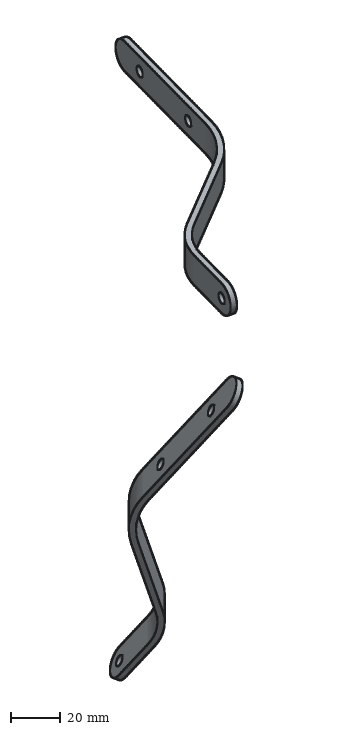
import cadquery as cq
import math

LENGTH = 183.0
OFFSET = 50.0
THICKNESS = 3.0
HEIGHT = 15.0
END_RADIUS = HEIGHT / 2

BEND_ANGLE = math.radians(44.0)
FIRST_BEND_START = 74.0
FIRST_BEND_INNER_RADIUS = 37.0
SECOND_BEND_OUTER_RADIUS = 30.0

HOLE_DIAMETER = 5.0
HOLE_POSITIONS = [20.0, 60.0, LENGTH - END_RADIUS]

LONG_LEG_Y = OFFSET
SHORT_LEG_Y = 0.0
BACK_Y = OFFSET + THICKNESS

BEND_RADII_SUM = FIRST_BEND_INNER_RADIUS + SECOND_BEND_OUTER_RADIUS
SLOPE_DROP = OFFSET - BEND_RADII_SUM * (1 - math.cos(BEND_ANGLE))
SLOPE_RUN = SLOPE_DROP / math.tan(BEND_ANGLE)
SECOND_BEND_END = FIRST_BEND_START + BEND_RADII_SUM * math.sin(BEND_ANGLE) + SLOPE_RUN

FIRST_BEND_CENTER = (FIRST_BEND_START, LONG_LEG_Y - FIRST_BEND_INNER_RADIUS)
SECOND_BEND_CENTER = (SECOND_BEND_END, SHORT_LEG_Y + SECOND_BEND_OUTER_RADIUS)


def first_bend_point(radius, angle):
    """Point on the first bend; the angle is turned from the long leg."""
    x, y = FIRST_BEND_CENTER
    return (x + radius * math.sin(angle), y + radius * math.cos(angle))


def second_bend_point(radius, angle):
    """Point on the second bend; the angle is turned from the short leg."""
    x, y = SECOND_BEND_CENTER
    return (x - radius * math.sin(angle), y - radius * math.cos(angle))


def bent_strip():
    """Strip of constant thickness following the double bend, with square ends."""
    first_inner = FIRST_BEND_INNER_RADIUS
    first_outer = first_inner + THICKNESS
    second_outer = SECOND_BEND_OUTER_RADIUS
    second_inner = second_outer - THICKNESS
    half_angle = BEND_ANGLE / 2
    return (
        cq.Workplane("XY")
        .moveTo(0, LONG_LEG_Y)
        .lineTo(*first_bend_point(first_inner, 0))
        .threePointArc(first_bend_point(first_inner, half_angle), first_bend_point(first_inner, BEND_ANGLE))
        .lineTo(*second_bend_point(second_outer, BEND_ANGLE))
        .threePointArc(second_bend_point(second_outer, half_angle), second_bend_point(second_outer, 0))
        .lineTo(LENGTH, SHORT_LEG_Y)
        .lineTo(LENGTH, SHORT_LEG_Y + THICKNESS)
        .lineTo(*second_bend_point(second_inner, 0))
        .threePointArc(second_bend_point(second_inner, half_angle), second_bend_point(second_inner, BEND_ANGLE))
        .lineTo(*first_bend_point(first_outer, BEND_ANGLE))
        .threePointArc(first_bend_point(first_outer, half_angle), first_bend_point(first_outer, 0))
        .lineTo(0, LONG_LEG_Y + THICKNESS)
        .close()
        .extrude(HEIGHT)
    )


def front_plane():
    """Sketch plane behind the part, facing -Y, at mid-height and mid-length."""
    return cq.Workplane("XZ", origin=(LENGTH / 2, BACK_Y, HEIGHT / 2))


def rounded_end_envelope():
    """Full-depth slot shape that rounds both ends of the strip."""
    return front_plane().slot2D(LENGTH, HEIGHT).extrude(BACK_Y)


def holes():
    """Cylinders through the legs, on the strip's centreline."""
    centers = [(x - LENGTH / 2, 0) for x in HOLE_POSITIONS]
    return front_plane().pushPoints(centers).circle(HOLE_DIAMETER / 2).extrude(BACK_Y)


result = bent_strip().intersect(rounded_end_envelope()).cut(holes())